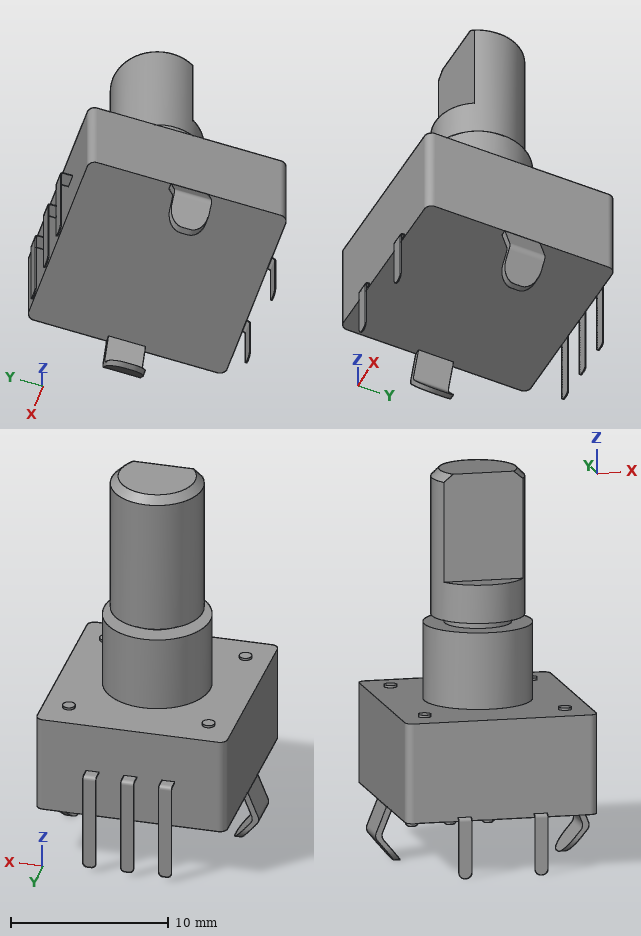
import cadquery as cq
import math


body_width = 12.55
body_depth = 13.35
body_height = 6.5
body_corner_radius = 0.5
leg_bottom = -3.7

rivet_diameter = 0.8
rivet_height = 0.15
rivet_spacing = 9.2

bushing_diameter = 7.0
bushing_height = 5.0
neck_diameter = 4.3
neck_height = 0.5
shaft_diameter = 6.0
shaft_height = 9.5
shaft_chamfer = 0.5
flat_distance = 1.5
flat_height = 7.0

pin_width = 0.85
pin_thickness = 0.08
pin_bend_radius = 0.25
pin_pitch = 2.5
front_pin_reach = 6.98
front_pin_top = 0.25
front_pin_tip_radius = 0.4
rear_pin_reach = 7.5
rear_pin_top = 3.23
rear_pin_bottom = -3.33
rear_pin_tip_radius = 0.3

clip_reach = 7.0
clip_width = 2.5
clip_thickness = 0.43
clip_bend_radius = 0.5
clip_bend_height = -1.86
clip_upper_angle = math.radians(22)
clip_lower_angle = math.radians(40)
clip_tip_radius = 1.0
clip_offset = 0.038

body_top = body_height
bushing_top = body_top + bushing_height
neck_top = bushing_top + neck_height
shaft_top = neck_top + shaft_height


def cylinder(diameter, bottom, top):
    return cq.Workplane("XY").workplane(offset=bottom).circle(diameter / 2).extrude(top - bottom)


def make_body():
    body = cq.Workplane("XY").rect(body_width, body_depth).extrude(body_height)
    body = body.edges("|Z").fillet(body_corner_radius)
    rivets = (
        cq.Workplane("XY")
        .workplane(offset=body_top)
        .rect(rivet_spacing, rivet_spacing, forConstruction=True)
        .vertices()
        .circle(rivet_diameter / 2)
        .extrude(rivet_height)
    )
    return body.union(rivets)


def make_shaft():
    shaft = cylinder(shaft_diameter, neck_top, shaft_top).faces(">Z").chamfer(shaft_chamfer)
    flat_cut = (
        cq.Workplane("XY")
        .workplane(offset=shaft_top - flat_height)
        .center(0, -flat_distance - shaft_diameter / 2)
        .rect(2 * shaft_diameter, shaft_diameter)
        .extrude(flat_height)
    )
    bushing = cylinder(bushing_diameter, body_top, bushing_top)
    neck = cylinder(neck_diameter, bushing_top, neck_top)
    return bushing.union(neck).union(shaft.cut(flat_cut))


def make_pin(x, side, reach, top, bottom, tip_radius):
    """Pin leaving the housing on the given Y side (+1 or -1) and bending straight down."""
    wall = body_depth / 2 - pin_bend_radius
    inner_radius = pin_bend_radius - pin_thickness
    bend_y = reach - pin_bend_radius
    bend_z = top - pin_bend_radius
    diagonal = math.sqrt(0.5)
    pin = (
        cq.Workplane("YZ")
        .workplane(offset=x - pin_width / 2)
        .moveTo(side * wall, top)
        .lineTo(side * bend_y, top)
        .threePointArc(
            (side * (bend_y + pin_bend_radius * diagonal), bend_z + pin_bend_radius * diagonal),
            (side * reach, bend_z),
        )
        .lineTo(side * reach, bottom)
        .lineTo(side * (reach - pin_thickness), bottom)
        .lineTo(side * (reach - pin_thickness), bend_z)
        .threePointArc(
            (side * (bend_y + inner_radius * diagonal), bend_z + inner_radius * diagonal),
            (side * bend_y, top - pin_thickness),
        )
        .lineTo(side * wall, top - pin_thickness)
        .close()
        .extrude(pin_width)
    )
    return pin.faces("<Z").edges("|Y").fillet(tip_radius)


def make_clip(side):
    """Bent spring clip below the given X side (+1 or -1) of the housing."""
    bend_x = clip_reach - clip_bend_radius
    start_x = bend_x + clip_bend_radius * math.cos(clip_upper_angle)
    start_z = clip_bend_height + clip_bend_radius * math.sin(clip_upper_angle)
    end_x = bend_x + clip_bend_radius * math.cos(clip_lower_angle)
    end_z = clip_bend_height - clip_bend_radius * math.sin(clip_lower_angle)
    top_x = start_x + start_z * math.tan(clip_upper_angle)
    tip_x = end_x - (end_z - leg_bottom) * math.tan(clip_lower_angle)

    strip = (
        cq.Workplane("XZ")
        .moveTo(side * top_x, 0)
        .lineTo(side * start_x, start_z)
        .threePointArc((side * clip_reach, clip_bend_height), (side * end_x, end_z))
        .lineTo(side * tip_x, leg_bottom)
        .lineTo(side * (tip_x - clip_thickness), leg_bottom)
        .lineTo(side * (end_x - clip_thickness), end_z)
        .threePointArc(
            (side * (clip_reach - clip_thickness), clip_bend_height),
            (side * (start_x - clip_thickness), start_z),
        )
        .lineTo(side * (top_x - clip_thickness), 0)
        .close()
        .extrude(clip_width / 2, both=True)
    )
    blank = (
        cq.Workplane("XY")
        .workplane(offset=leg_bottom)
        .rect(2 * clip_reach, clip_width)
        .extrude(-leg_bottom)
        .faces("<Z")
        .edges("|X")
        .fillet(clip_tip_radius)
    )
    return strip.intersect(blank).translate((0, side * clip_offset, 0))


result = make_body().union(make_shaft())

for pin_x in (-pin_pitch, pin_pitch):
    result = result.union(
        make_pin(pin_x, -1, front_pin_reach, front_pin_top, leg_bottom, front_pin_tip_radius)
    )

for pin_x in (-pin_pitch, 0, pin_pitch):
    result = result.union(
        make_pin(pin_x, 1, rear_pin_reach, rear_pin_top, rear_pin_bottom, rear_pin_tip_radius)
    )

for clip_side in (-1, 1):
    result = result.union(make_clip(clip_side))